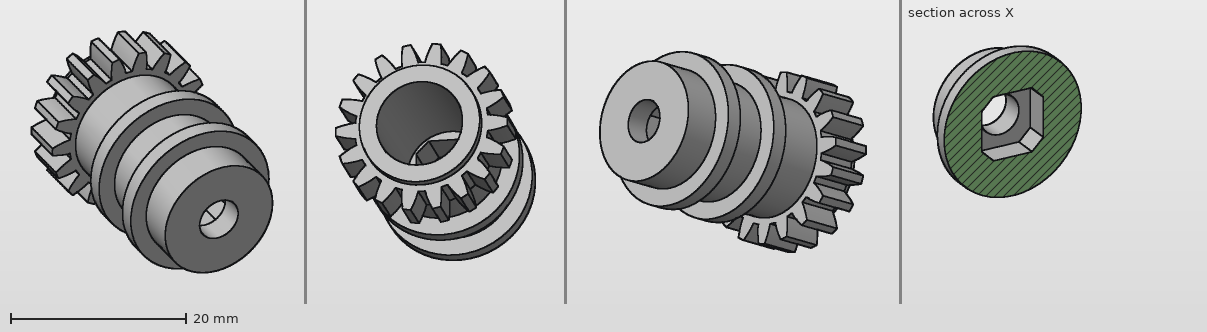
import cadquery as cq
import math

length = 27.5
body_diameter = 14.0

collar_diameter = 18.0
collar_width = 1.98
collar_starts = (13.5, 21.0)

tooth_count = 18
gear_start = 1.25
gear_width = 5.0
tip_radius = 20.0 / 2
root_radius = 7.75
pitch_radius = 9.0
tip_half_width = 0.48
pitch_half_width = 0.77
root_half_width = 0.95
tooth_overlap = 0.28

bore_diameter = 10.0
bore_depth = 18.42
socket_side = 8.0
socket_corner_cut = 1.48
socket_depth = 6.05
hole_diameter = 5.0


def cylinder(diameter, start, width):
    """Solid disc about the X axis, starting at the given X."""
    return cq.Workplane("YZ", origin=(start, 0, 0)).circle(diameter / 2).extrude(width)


def radial_distance(radius, half_width):
    """Distance along the tooth centreline of a flank point on a circle."""
    return math.sqrt(radius**2 - half_width**2)


def make_tooth():
    """One tooth pointing along +Y, with bulging flanks and a rounded tip."""
    tip = radial_distance(tip_radius, tip_half_width)
    pitch = radial_distance(pitch_radius, pitch_half_width)
    root = radial_distance(root_radius, root_half_width)
    return (
        cq.Workplane("YZ", origin=(gear_start, 0, 0))
        .moveTo(root - tooth_overlap, -root_half_width)
        .lineTo(root, -root_half_width)
        .threePointArc((pitch, -pitch_half_width), (tip, -tip_half_width))
        .threePointArc((tip_radius, 0), (tip, tip_half_width))
        .threePointArc((pitch, pitch_half_width), (root, root_half_width))
        .lineTo(root - tooth_overlap, root_half_width)
        .close()
        .extrude(gear_width)
    )


def make_gear():
    gear = cylinder(2 * root_radius, gear_start, gear_width)
    tooth = make_tooth()
    for index in range(tooth_count):
        angle = index * 360 / tooth_count
        gear = gear.union(tooth.rotate((0, 0, 0), (1, 0, 0), angle))
    return gear


def make_socket():
    return (
        cq.Workplane("YZ", origin=(bore_depth, 0, 0))
        .rect(socket_side, socket_side)
        .extrude(socket_depth)
        .edges("|X")
        .chamfer(socket_corner_cut)
    )


result = cylinder(body_diameter, 0, length)
for collar_start in collar_starts:
    result = result.union(cylinder(collar_diameter, collar_start, collar_width))
result = result.union(make_gear())

result = result.cut(cylinder(bore_diameter, 0, bore_depth))
result = result.cut(make_socket())
result = result.cut(cylinder(hole_diameter, 0, length))